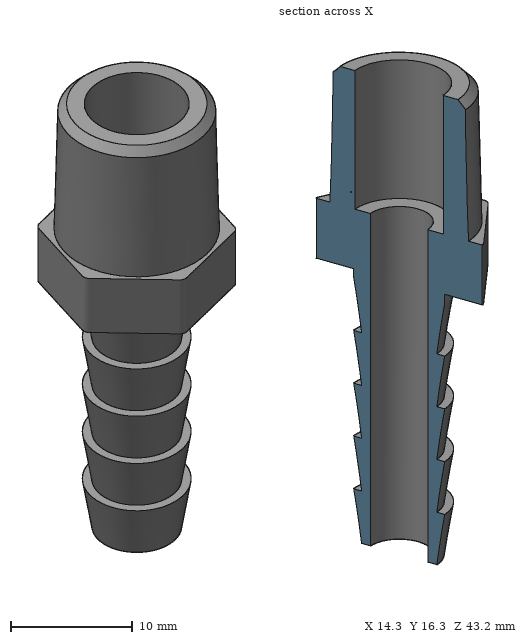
import cadquery as cq

total_height = 43.2
barb_count = 5
barb_pitch = 4.85
barbs_top = barb_count * barb_pitch
collar_height = 0.78
hex_bottom = barbs_top + collar_height
hex_height = 5.53
hex_top = hex_bottom + hex_height

barb_tip_radius = 4.5
barb_root_radius = 3.7

hex_across_flats = 14.3
hex_corner_radius = 0.7

pipe_base_radius = 6.82
pipe_top_radius = 6.5
pipe_chamfer = 0.75

hose_bore_radius = 2.8
pipe_bore_radius = 4.3
pipe_bore_depth = total_height - hex_top


def frustum(bottom_z, height, bottom_radius, top_radius):
    """Solid cone section about Z, made by revolving half its profile."""
    top_z = bottom_z + height
    profile = [(0, bottom_z), (bottom_radius, bottom_z), (top_radius, top_z), (0, top_z)]
    return cq.Workplane("XZ").polyline(profile).close().revolve(360, (0, 0), (0, 1))


def cylinder(bottom_z, height, radius):
    return cq.Workplane("XY").workplane(offset=bottom_z).circle(radius).extrude(height)


def hose_tail():
    """Stacked barbs that widen upward, finished by a plain collar under the hexagon."""
    tail = cylinder(barbs_top, collar_height, barb_tip_radius)
    for index in range(barb_count):
        tail = tail.union(frustum(index * barb_pitch, barb_pitch, barb_root_radius, barb_tip_radius))
    return tail


def wrench_hexagon():
    """Hexagon with flats facing -X and +X and rounded corners."""
    return (
        cq.Workplane("XY")
        .workplane(offset=hex_bottom)
        .polygon(6, hex_across_flats, circumscribed=True)
        .extrude(hex_height)
        .edges("|Z")
        .fillet(hex_corner_radius)
    )


def pipe_end():
    """Tapered spigot with a 45 degree chamfer on its rim."""
    taper_height = total_height - hex_top - pipe_chamfer
    taper = frustum(hex_top, taper_height, pipe_base_radius, pipe_top_radius)
    rim_radius = pipe_top_radius - pipe_chamfer
    rim = frustum(total_height - pipe_chamfer, pipe_chamfer, pipe_top_radius, rim_radius)
    return taper.union(rim)


body = hose_tail().union(wrench_hexagon()).union(pipe_end())

hose_bore = cylinder(0, total_height, hose_bore_radius)
pipe_bore = cylinder(total_height - pipe_bore_depth, pipe_bore_depth, pipe_bore_radius)

result = body.cut(hose_bore).cut(pipe_bore)